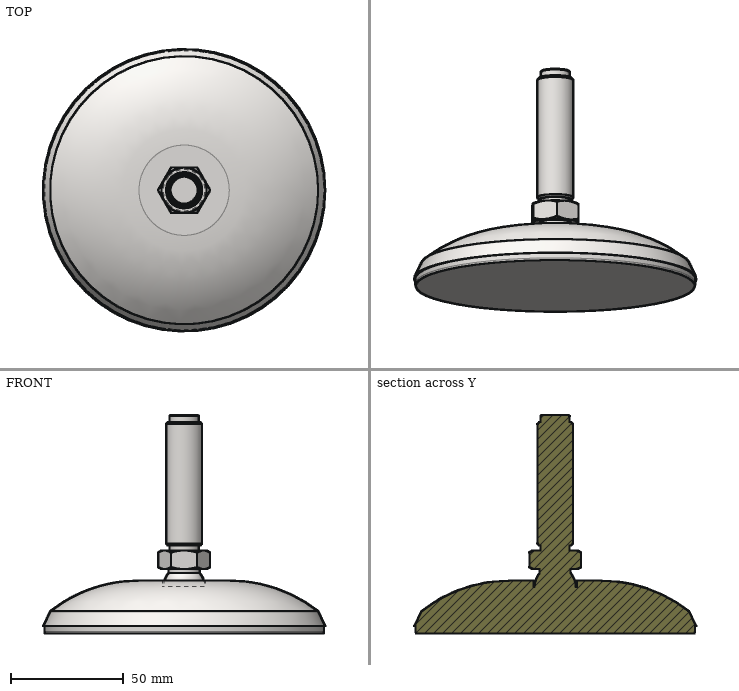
import cadquery as cq
import math

BASE_DIAMETER = 125.0
BASE_HEIGHT = 23.5
FLAT_TOP_DIAMETER = 40.0
DOME_RADIUS = 63.8
DOME_EDGE_DIAMETER = 118.6
RIM_TOP_DIAMETER = 119.1
RIM_TOP_HEIGHT = 9.5
RIM_BOTTOM_HEIGHT = 3.2
PAD_DIAMETER = 124.0
PAD_TAPER_WIDTH = 0.2
PAD_TAPER_HEIGHT = 1.0

BALL_DIAMETER = 18.4
BALL_CENTRE_HEIGHT = 20.8
LOWER_NECK_DIAMETER = 14.0
SOCKET_DIAMETER = 19.1

NUT_BOTTOM = 28.5
NUT_TOP = 36.8
NUT_ACROSS_FLATS = 20.0
NUT_CHAMFER_ANGLE = 30.0

TOTAL_HEIGHT = 96.8
STUD_DIAMETER = 16.0
STUD_END_DIAMETER = 14.2
STUD_BOTTOM = 38.9
STUD_CHAMFER_HEIGHT = 1.0
RELIEF_DIAMETER = 13.0
TIP_LENGTH = 3.1
TIP_CHAMFER = 0.5


def cylinder(diameter, bottom, top):
    return cq.Workplane("XY").workplane(offset=bottom).circle(diameter / 2).extrude(top - bottom)


def make_base():
    """Solid plate: tapered pad, sloping rim, a dome tangent to the flat top and the ball socket."""
    pad_radius = PAD_DIAMETER / 2
    flat_radius = FLAT_TOP_DIAMETER / 2
    dome_edge_radius = DOME_EDGE_DIAMETER / 2
    dome_centre_height = BASE_HEIGHT - DOME_RADIUS

    def dome_height(radius):
        return dome_centre_height + math.sqrt(DOME_RADIUS**2 - (radius - flat_radius) ** 2)

    dome_middle_radius = (flat_radius + dome_edge_radius) / 2
    profile = (
        cq.Workplane("XZ")
        .lineTo(pad_radius - PAD_TAPER_WIDTH, 0)
        .lineTo(pad_radius, PAD_TAPER_HEIGHT)
        .lineTo(pad_radius, RIM_BOTTOM_HEIGHT)
        .lineTo(BASE_DIAMETER / 2, RIM_BOTTOM_HEIGHT)
        .lineTo(RIM_TOP_DIAMETER / 2, RIM_TOP_HEIGHT)
        .lineTo(dome_edge_radius, dome_height(dome_edge_radius))
        .threePointArc((dome_middle_radius, dome_height(dome_middle_radius)), (flat_radius, BASE_HEIGHT))
        .lineTo(0, BASE_HEIGHT)
        .close()
    )
    plate = profile.revolve(360, (0, 0, 0), (0, 1, 0))
    return plate.cut(cylinder(SOCKET_DIAMETER, BALL_CENTRE_HEIGHT, BASE_HEIGHT))


def make_ball_neck():
    """Ball seated in the base, joined to the nut by a short neck."""
    ball = cq.Workplane("XY").sphere(BALL_DIAMETER / 2).translate((0, 0, BALL_CENTRE_HEIGHT))
    return ball.union(cylinder(LOWER_NECK_DIAMETER, BALL_CENTRE_HEIGHT, NUT_BOTTOM))


def make_nut():
    """Hexagon with corners on the X axis, its corners turned off at both ends."""
    corner_diameter = NUT_ACROSS_FLATS / math.cos(math.radians(30))
    corner_width = (corner_diameter - NUT_ACROSS_FLATS) / 2
    chamfer_height = corner_width * math.tan(math.radians(NUT_CHAMFER_ANGLE))
    hexagon = (
        cq.Workplane("XY")
        .workplane(offset=NUT_BOTTOM)
        .polygon(6, corner_diameter)
        .extrude(NUT_TOP - NUT_BOTTOM)
    )
    turned_blank = (
        cq.Workplane("XZ")
        .moveTo(0, NUT_BOTTOM)
        .lineTo(NUT_ACROSS_FLATS / 2, NUT_BOTTOM)
        .lineTo(corner_diameter / 2, NUT_BOTTOM + chamfer_height)
        .lineTo(corner_diameter / 2, NUT_TOP - chamfer_height)
        .lineTo(NUT_ACROSS_FLATS / 2, NUT_TOP)
        .lineTo(0, NUT_TOP)
        .close()
        .revolve(360, (0, 0, 0), (0, 1, 0))
    )
    return hexagon.intersect(turned_blank)


def make_stud():
    """Plain stud with chamfered ends, a relief neck above the nut and a reduced tip."""
    stud_top = TOTAL_HEIGHT - TIP_LENGTH
    chamfer_width = (STUD_DIAMETER - STUD_END_DIAMETER) / 2
    shank = (
        cylinder(STUD_DIAMETER, STUD_BOTTOM, stud_top)
        .faces("<Z or >Z")
        .chamfer(STUD_CHAMFER_HEIGHT, chamfer_width)
    )
    relief = cylinder(RELIEF_DIAMETER, NUT_TOP, STUD_BOTTOM)
    tip = cylinder(RELIEF_DIAMETER, stud_top, TOTAL_HEIGHT).faces(">Z").chamfer(TIP_CHAMFER)
    return shank.union(relief).union(tip)


result = make_base().union(make_ball_neck()).union(make_nut()).union(make_stud())